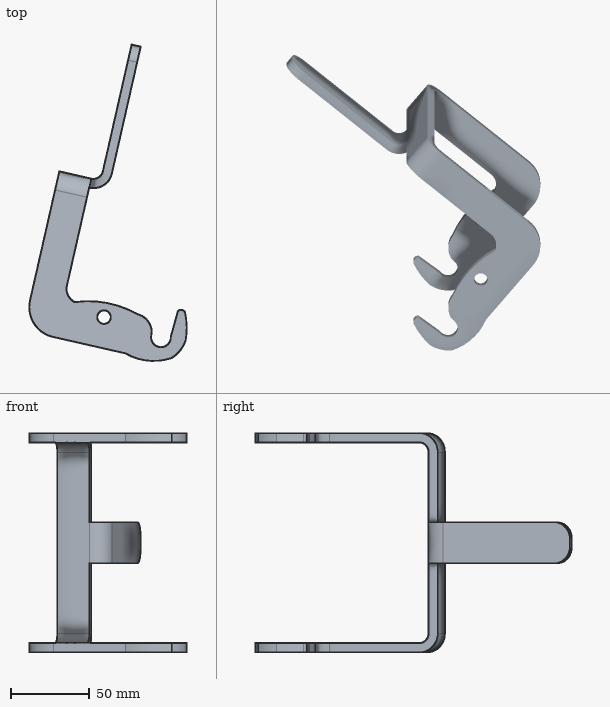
import cadquery as cq

TILT = 12.8

THICKNESS = 6.0
HEIGHT = 140.0
STRAP_WIDTH = 21.0
BEND_INNER = 6.0
BEND_OUTER = BEND_INNER + THICKNESS

ARM_LENGTH = 104.0
HEEL_RADIUS = 19.5
HOLE_DIAMETER = 8.5
HOLE_X, HOLE_Y = 48.5, -84.5

TAB_HEIGHT = 26.2
TAB_LENGTH = 89.0
TAB_CORNER = 10.0


def make_strap():
    """U-shaped strip with its web at the back and the bends at the arm roots."""
    outer = (
        cq.Workplane("YZ")
        .rect(2 * ARM_LENGTH, HEIGHT)
        .extrude(STRAP_WIDTH)
        .translate((0, -ARM_LENGTH, 0))
        .edges("|X and >Y")
        .fillet(BEND_OUTER)
    )
    inner = (
        cq.Workplane("YZ")
        .rect(2 * ARM_LENGTH, HEIGHT - 2 * THICKNESS)
        .extrude(STRAP_WIDTH)
        .translate((0, -ARM_LENGTH - THICKNESS, 0))
        .edges("|X and >Y")
        .fillet(BEND_INNER)
    )
    arms_start = -BEND_OUTER
    kept = cq.Workplane("XY").box(
        STRAP_WIDTH, -arms_start, HEIGHT, centered=(False, False, True)
    ).translate((0, arms_start, 0))
    return outer.cut(inner).intersect(kept)


def make_arm():
    """Flat hooked arm, with its lower face at Z = 0."""
    root_y = -BEND_OUTER
    heel_mid = HEEL_RADIUS * (1 - 0.5**0.5)
    profile = (
        cq.Workplane("XY")
        .moveTo(0, root_y)
        .lineTo(0, -ARM_LENGTH + HEEL_RADIUS)
        .threePointArc((heel_mid, -ARM_LENGTH + heel_mid), (HEEL_RADIUS, -ARM_LENGTH))
        .lineTo(66.8, -ARM_LENGTH)
        .threePointArc((81.5, -105.5), (96.3, -100.4))
        .threePointArc((101.0, -93.5), (102.5, -87.2))
        .threePointArc((101.5, -79.8), (98.3, -70.3))
        .threePointArc((95.7, -68.9), (93.5, -70.5))
        .lineTo(92.7, -87.2)
        .threePointArc((87.2, -95.1), (80.5, -89.9))
        .lineTo(80.2, -86.2)
        .threePointArc((77.0, -81.2), (68.7, -77.7))
        .threePointArc((47.9, -75.1), (28.0, -79.2))
        .threePointArc((23.5, -76.3), (STRAP_WIDTH, -71.0))
        .lineTo(STRAP_WIDTH, root_y)
        .close()
    )
    hole = cq.Workplane("XY").center(HOLE_X, HOLE_Y).circle(HOLE_DIAMETER / 2).extrude(THICKNESS)
    return profile.extrude(THICKNESS).cut(hole)


def make_tab():
    """Tail tab that leaves the side of the web and bends backwards."""
    diagonal = 0.5**0.5
    inner_x = STRAP_WIDTH + BEND_INNER
    outer_x = STRAP_WIDTH + BEND_OUTER
    bend_y = BEND_INNER

    def bend_middle(radius):
        return (STRAP_WIDTH + radius * diagonal, bend_y - radius * diagonal)

    tab = (
        cq.Workplane("XY")
        .moveTo(STRAP_WIDTH, -THICKNESS)
        .threePointArc(bend_middle(BEND_OUTER), (outer_x, bend_y))
        .lineTo(outer_x, TAB_LENGTH)
        .lineTo(inner_x, TAB_LENGTH)
        .lineTo(inner_x, bend_y)
        .threePointArc(bend_middle(BEND_INNER), (STRAP_WIDTH, 0))
        .close()
        .extrude(TAB_HEIGHT / 2, both=True)
    )
    return tab.faces(">Y").edges("|X").fillet(TAB_CORNER)


bracket = make_strap().union(make_tab())
for arm_base in (-HEIGHT / 2, HEIGHT / 2 - THICKNESS):
    bracket = bracket.union(make_arm().translate((0, 0, arm_base)))

result = bracket.rotate((0, 0, 0), (0, 0, 1), -TILT)